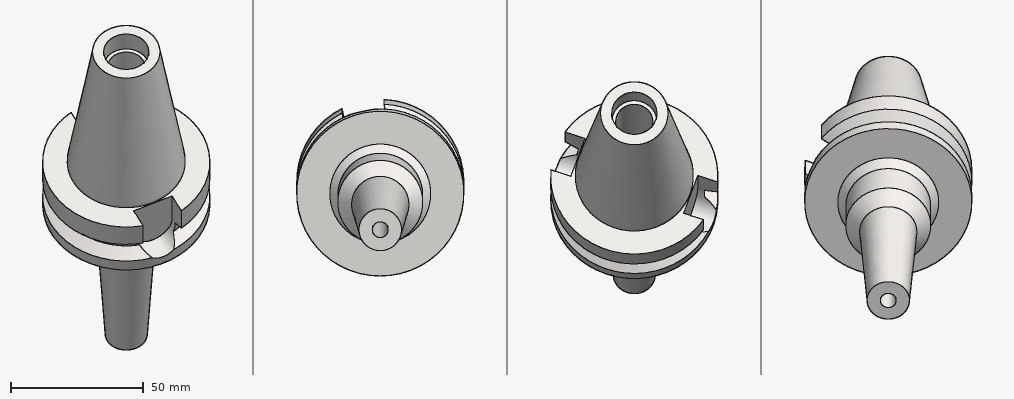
import cadquery as cq
import math


TAPER_LENGTH = 65.4
GAUGE_RADIUS = 44.45 / 2
TAPER_RATIO = 7 / 24
TAPER_TIP_RADIUS = GAUGE_RADIUS - TAPER_LENGTH * TAPER_RATIO / 2

FLANGE_RADIUS = 31.5
FLANGE_TOP = -1.0
FLANGE_BOTTOM = -27.0
GROOVE_CENTER = -16.55
GROOVE_FLOOR_RADIUS = 26.5
GROOVE_FLOOR_WIDTH = 4.3
GROOVE_FLANK_ANGLE = 30
GROOVE_FLANK_HEIGHT = (FLANGE_RADIUS - GROOVE_FLOOR_RADIUS) * math.tan(math.radians(GROOVE_FLANK_ANGLE))
GROOVE_FLOOR_TOP = GROOVE_CENTER + GROOVE_FLOOR_WIDTH / 2
GROOVE_FLOOR_BOTTOM = GROOVE_CENTER - GROOVE_FLOOR_WIDTH / 2

SLOT_WIDTH = 16.1
SLOT_FLOOR_X = 22.5
SLOT_END_Z = -23.0
SLOT_ARC_CENTER_Z = SLOT_END_Z + SLOT_WIDTH / 2

SHANK_RADIUS = 16.0
SHANK_FLARE_HEIGHT = 3.0
SHANK_BOTTOM = -45.4
NOSE_BOTTOM = -105.0
NOSE_TIP_RADIUS = 8.0
NOSE_TOP_RADIUS = 10.8
NOSE_TOP = SHANK_BOTTOM - (SHANK_RADIUS - NOSE_TOP_RADIUS)

PULL_STUD_PILOT_DEPTH = 9.0
PULL_STUD_HOLE_DEPTH = 43.0
TOOL_BORE_DEPTH = 36.0

BORE_STEPS = [
    (8.5, TAPER_LENGTH - PULL_STUD_PILOT_DEPTH),
    (7.0, TAPER_LENGTH - PULL_STUD_HOLE_DEPTH),
    (4.0, NOSE_BOTTOM + TOOL_BORE_DEPTH),
    (3.0, NOSE_BOTTOM),
]


def make_body():
    """Revolve the outer half profile about the Z axis."""
    profile = [
        (0, TAPER_LENGTH),
        (TAPER_TIP_RADIUS, TAPER_LENGTH),
        (GAUGE_RADIUS, 0),
        (GAUGE_RADIUS, FLANGE_TOP),
        (FLANGE_RADIUS, FLANGE_TOP),
        (FLANGE_RADIUS, GROOVE_FLOOR_TOP + GROOVE_FLANK_HEIGHT),
        (GROOVE_FLOOR_RADIUS, GROOVE_FLOOR_TOP),
        (GROOVE_FLOOR_RADIUS, GROOVE_FLOOR_BOTTOM),
        (FLANGE_RADIUS, GROOVE_FLOOR_BOTTOM - GROOVE_FLANK_HEIGHT),
        (FLANGE_RADIUS, FLANGE_BOTTOM),
        (SHANK_RADIUS + SHANK_FLARE_HEIGHT, FLANGE_BOTTOM),
        (SHANK_RADIUS, FLANGE_BOTTOM - SHANK_FLARE_HEIGHT),
        (SHANK_RADIUS, SHANK_BOTTOM),
        (NOSE_TOP_RADIUS, NOSE_TOP),
        (NOSE_TIP_RADIUS, NOSE_BOTTOM),
        (0, NOSE_BOTTOM),
    ]
    return cq.Workplane("YZ").polyline(profile).close().revolve(360, (0, 0), (0, 1))


def make_bore():
    """Stack one cylinder per bore step."""
    bore = cq.Workplane("XY")
    top = TAPER_LENGTH
    for radius, bottom in BORE_STEPS:
        step = cq.Workplane("XY").workplane(offset=bottom).circle(radius).extrude(top - bottom)
        bore = bore.add(step)
        top = bottom
    return bore.combine()


def make_drive_slot(side):
    """Round-ended slot cutter, open at the flange top; side is +1 or -1 along X."""
    half_width = SLOT_WIDTH / 2
    start_x = side * SLOT_FLOOR_X
    depth = side * (FLANGE_RADIUS - SLOT_FLOOR_X)
    return (
        cq.Workplane("YZ")
        .workplane(offset=start_x)
        .moveTo(-half_width, FLANGE_TOP)
        .lineTo(-half_width, SLOT_ARC_CENTER_Z)
        .threePointArc((0, SLOT_END_Z), (half_width, SLOT_ARC_CENTER_Z))
        .lineTo(half_width, FLANGE_TOP)
        .close()
        .extrude(depth)
    )


result = make_body().cut(make_bore())
for slot_side in (-1, 1):
    result = result.cut(make_drive_slot(slot_side))